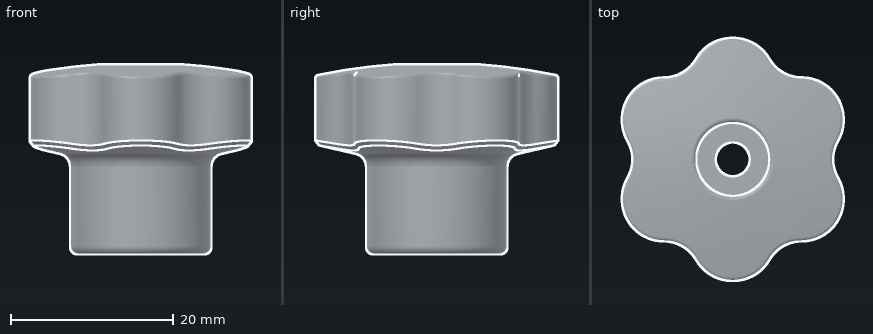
import cadquery as cq
import math

total_height = 23.5
lobe_count = 6
tip_radius = 15.0
lobe_radius = 5.25
valley_radius = 4.5
lobe_center = tip_radius - lobe_radius

dome_radius = 72.0
underside_angle = 13.0
underside_start = 12.12
top_edge_fillet = 0.5
bottom_edge_chamfer = 0.5

hub_radius = 17.5 / 2
neck_fillet = 1.5
hub_end_fillet = 1.0
recess_radius = 9.0 / 2
recess_rim_fillet = 0.5
recess_depth = 9.0
bore_diameter = 4.15

rim_radius = recess_radius + recess_rim_fillet
dome_apex = total_height + dome_radius - math.sqrt(dome_radius**2 - rim_radius**2)
blank_radius = tip_radius + 1.5
prism_overshoot = 1.5


def polar(radius, degrees):
    angle = math.radians(degrees)
    return (radius * math.cos(angle), radius * math.sin(angle))


def star_prism():
    """Six round lobes joined by tangent concave valleys."""
    pitch = 360.0 / lobe_count
    half_pitch = math.radians(pitch / 2)
    reach = lobe_radius + valley_radius
    valley_center = lobe_center * math.cos(half_pitch) + math.sqrt(
        reach**2 - (lobe_center * math.sin(half_pitch)) ** 2
    )
    valley_bottom = valley_center - valley_radius

    share = lobe_radius / reach
    along = lobe_center + share * (valley_center * math.cos(half_pitch) - lobe_center)
    across = share * valley_center * math.sin(half_pitch)
    joint_radius = math.hypot(along, across)
    joint_angle = math.degrees(math.atan2(across, along))

    first_lobe = 90.0
    outline = cq.Workplane("XY").moveTo(*polar(joint_radius, first_lobe - joint_angle))
    for index in range(lobe_count):
        lobe_angle = first_lobe + index * pitch
        outline = outline.threePointArc(
            polar(tip_radius, lobe_angle), polar(joint_radius, lobe_angle + joint_angle)
        ).threePointArc(
            polar(valley_bottom, lobe_angle + pitch / 2),
            polar(joint_radius, lobe_angle + pitch - joint_angle),
        )
    return outline.close().extrude(dome_apex + prism_overshoot)


def head():
    """Lobed head between a conical underside and a spherical top."""
    def dome_height(radius):
        return dome_apex - dome_radius + math.sqrt(dome_radius**2 - radius**2)

    underside_rise = (blank_radius - hub_radius) * math.tan(math.radians(underside_angle))
    blank = (
        cq.Workplane("XZ")
        .moveTo(0, underside_start)
        .lineTo(hub_radius, underside_start)
        .lineTo(blank_radius, underside_start + underside_rise)
        .lineTo(blank_radius, dome_height(blank_radius))
        .threePointArc((blank_radius / 2, dome_height(blank_radius / 2)), (0, dome_apex))
        .close()
        .revolve(360, (0, 0, 0), (0, 1, 0))
    )
    body = star_prism().intersect(blank)
    body = body.faces(">Z").edges().fillet(top_edge_fillet)
    return body.faces("%CONE").edges("not %CIRCLE").chamfer(bottom_edge_chamfer)


def hub():
    return (
        cq.Workplane("XY")
        .circle(hub_radius)
        .extrude(underside_start)
        .faces("<Z")
        .edges()
        .fillet(hub_end_fillet)
    )


def blend_neck(body):
    """Round the inside corner between hub and underside."""
    margin = 0.15
    reach = hub_radius + margin
    corner = cq.selectors.BoxSelector(
        (-reach, -reach, underside_start - margin), (reach, reach, underside_start + margin)
    )
    return body.edges("%CIRCLE").edges(corner).fillet(neck_fillet)


def cut_bore(body):
    """Round-rimmed recess in the top, with a smaller hole through the rest."""
    recess_floor = total_height - recess_depth
    recess = (
        cq.Workplane("XY").workplane(offset=recess_floor)
        .circle(recess_radius).extrude(dome_apex - recess_floor)
    )
    body = body.cut(recess)
    body = body.edges(">Z").fillet(recess_rim_fillet)
    bore = cq.Workplane("XY").circle(bore_diameter / 2).extrude(total_height)
    return body.cut(bore)


result = cut_bore(blend_neck(head().union(hub())))